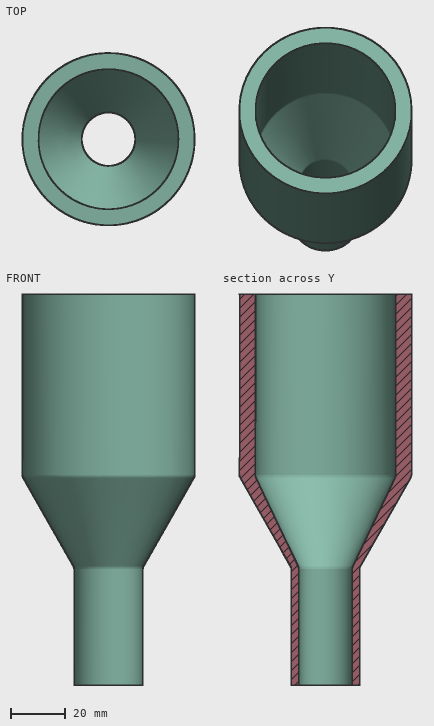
import cadquery as cq

total_height = 143.0
large_diameter = 63.0
large_bore = 51.2
small_diameter = 25.2
small_bore = 19.5
small_tube_height = 43.0
large_tube_height = 66.6
blend_radius = 2.0

cone_top = total_height - large_tube_height


def stepped_body(lower_diameter, upper_diameter):
    """Small cylinder, cone and large cylinder about Z, with rounded transitions."""
    lower_radius = lower_diameter / 2
    upper_radius = upper_diameter / 2
    body = (
        cq.Workplane("XZ")
        .lineTo(lower_radius, 0)
        .lineTo(lower_radius, small_tube_height)
        .lineTo(upper_radius, cone_top)
        .lineTo(upper_radius, total_height)
        .lineTo(0, total_height)
        .close()
        .revolve(360, (0, 0, 0), (0, 1, 0))
    )
    transitions = body.edges("%CIRCLE").edges(
        cq.selectors.BoxSelector(
            (-large_diameter, -large_diameter, small_tube_height / 2),
            (large_diameter, large_diameter, (cone_top + total_height) / 2),
        )
    )
    return transitions.fillet(blend_radius)


outside = stepped_body(small_diameter, large_diameter)
passage = stepped_body(small_bore, large_bore)

result = outside.cut(passage)